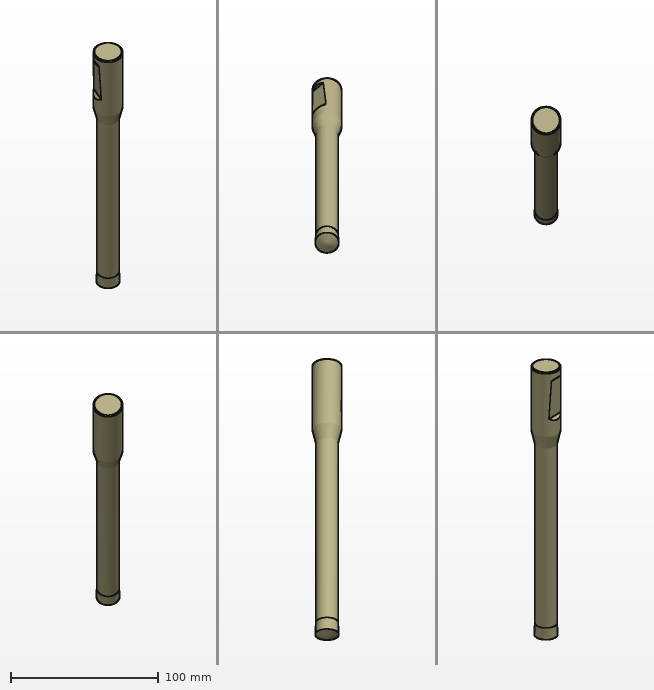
import cadquery as cq

total_length = 211.5
head_diameter = 20.0
shank_diameter = 15.5
tip_diameter = 16.0
head_radius = head_diameter / 2

point_height = 3.0
tip_height = 12.0
taper_bottom = 151.5
taper_top = 161.5
top_chamfer = 0.8

upper_land = 1.0
lower_land = 1.3
flat_upper_end = 204.5
flat_lower_end = 175.5
upper_depth = 1.3
floor_drop = 0.95
lower_depth = upper_depth + floor_drop
cut_margin = 2.1


def make_holder():
    """Turned shank and head joined by a taper, with the clamping flat cut in."""
    shank_radius = shank_diameter / 2
    body = (
        cq.Workplane("XZ")
        .moveTo(0, tip_height)
        .lineTo(shank_radius, tip_height)
        .lineTo(shank_radius, taper_bottom)
        .lineTo(head_radius, taper_top)
        .lineTo(head_radius, total_length - top_chamfer)
        .lineTo(head_radius - top_chamfer, total_length)
        .lineTo(0, total_length)
        .close()
        .revolve(360, (0, 0, 0), (0, 1, 0))
    )
    return body.cut(make_flat_cutter())


def make_flat_cutter():
    """Side profile of the clamping flat, extruded across the head."""
    upper_floor = upper_depth - head_radius
    lower_floor = lower_depth - head_radius
    outside = -head_radius - cut_margin
    return (
        cq.Workplane("YZ")
        .moveTo(outside, flat_upper_end + upper_depth + cut_margin)
        .lineTo(upper_floor, flat_upper_end)
        .lineTo(upper_floor, flat_upper_end - upper_land)
        .lineTo(lower_floor, flat_lower_end + lower_land)
        .lineTo(lower_floor, flat_lower_end)
        .lineTo(outside, flat_lower_end - lower_depth - cut_margin)
        .close()
        .extrude(head_radius, both=True)
    )


def make_tip():
    """Cutting tip with a conical point, narrowing slightly up to the end of the shank."""
    shank_radius = shank_diameter / 2
    return (
        cq.Workplane("XZ")
        .lineTo(tip_diameter / 2, point_height)
        .lineTo(shank_radius, tip_height)
        .lineTo(0, tip_height)
        .close()
        .revolve(360, (0, 0, 0), (0, 1, 0))
    )


holder = make_holder()
tip = make_tip()
result = cq.Compound.makeCompound([holder.val(), tip.val()])